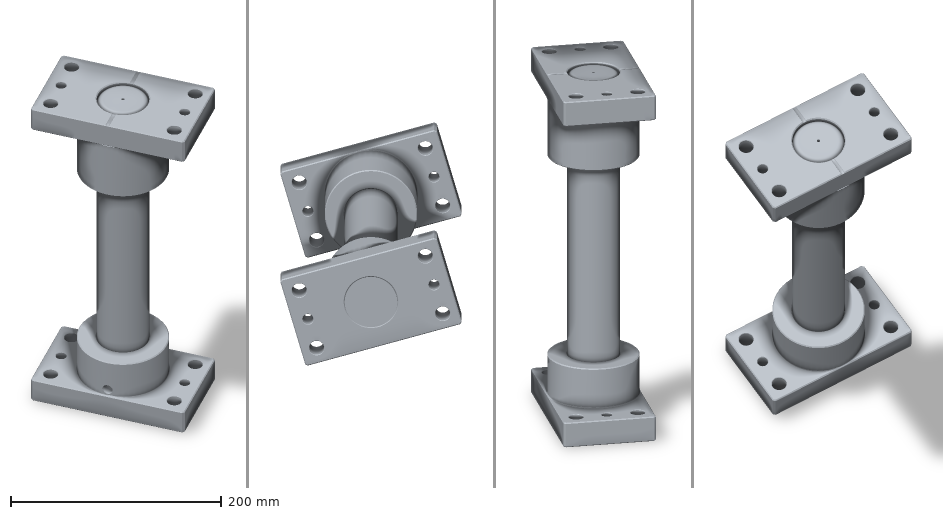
import cadquery as cq
import math

total_height = 350.8

collar_diameter = 88.0
collar_chamfer = 0.98
root_radius = 0.98
lower_collar_height = 40.0
upper_collar_height = 60.0

plate_length = 155.0
plate_width = collar_diameter + 2 * root_radius
plate_thickness = 25.0
corner_chamfer = 2.0
face_chamfer = 0.98

hole_spacing_x = 125.0
bolt_spacing_y = 60.0
bolt_diameter = 14.0
dowel_diameter = 10.0
hole_chamfer = 0.5

post_diameter = 50.0
post_recess = 0.98
post_end_radius = 6.0
center_hole_diameter = 3.0
center_hole_depth = 7.0
bore_chamfer = 0.98

cross_hole_diameter = 10.0
cross_hole_height = 32.3

groove_width = 4.0
groove_depth = 0.98


def chamfered_hole(diameter, length, chamfer):
    """Cutter for a through hole up from Z = 0, flared at both ends to chamfer its rims."""
    radius = diameter / 2
    rim_radius = radius + chamfer
    return (
        cq.Workplane("XZ")
        .moveTo(0, 0)
        .lineTo(rim_radius, 0)
        .lineTo(radius, chamfer)
        .lineTo(radius, length - chamfer)
        .lineTo(rim_radius, length)
        .lineTo(0, length)
        .close()
        .revolve(360, (0, 0, 0), (0, 1, 0))
    )


def make_plate():
    """Flange plate resting on Z = 0, with bevelled edges and its six mounting holes."""
    plate = (
        cq.Workplane("XY")
        .box(plate_length, plate_width, plate_thickness, centered=(True, True, False))
        .edges("|Z")
        .chamfer(corner_chamfer)
        .faces("<Z or >Z")
        .edges()
        .chamfer(face_chamfer)
    )
    bolt_hole = chamfered_hole(bolt_diameter, plate_thickness, hole_chamfer)
    dowel_hole = chamfered_hole(dowel_diameter, plate_thickness, hole_chamfer)
    for x in (-hole_spacing_x / 2, hole_spacing_x / 2):
        plate = plate.cut(dowel_hole.translate((x, 0, 0)))
        for y in (-bolt_spacing_y / 2, bolt_spacing_y / 2):
            plate = plate.cut(bolt_hole.translate((x, y, 0)))
    return plate


def make_collar(collar_height):
    """Solid collar on top of the plate: concave root at the bottom, chamfer at the free end."""
    radius = collar_diameter / 2
    foot_radius = radius + root_radius
    top = plate_thickness + collar_height
    arc_drop = root_radius * math.sqrt(0.5)
    return (
        cq.Workplane("XZ")
        .moveTo(0, plate_thickness)
        .lineTo(foot_radius, plate_thickness)
        .threePointArc(
            (foot_radius - arc_drop, plate_thickness + root_radius - arc_drop),
            (radius, plate_thickness + root_radius),
        )
        .lineTo(radius, top - collar_chamfer)
        .lineTo(radius - collar_chamfer, top)
        .lineTo(0, top)
        .close()
        .revolve(360, (0, 0, 0), (0, 1, 0))
    )


def make_block(collar_height):
    """Flange plate and collar in one piece, bored through; the plate's outer face is at Z = 0."""
    bore = chamfered_hole(post_diameter, plate_thickness + collar_height, bore_chamfer)
    return make_plate().union(make_collar(collar_height)).cut(bore)


def make_lower_block():
    """Base block with a cross hole running from the front of the collar to the bore."""
    cross_hole = (
        cq.Workplane("XZ")
        .center(0, cross_hole_height)
        .circle(cross_hole_diameter / 2)
        .extrude(plate_width)
    )
    return make_block(lower_collar_height).cut(cross_hole)


def make_upper_block():
    """Sliding block hung collar-down at the top, with a vent groove across its outer face."""
    groove = (
        cq.Workplane("XZ")
        .moveTo(-groove_width / 2, 0)
        .threePointArc((0, groove_depth), (groove_width / 2, 0))
        .close()
        .extrude(plate_width / 2, both=True)
    )
    return (
        make_block(upper_collar_height)
        .cut(groove)
        .rotate((0, 0, 0), (1, 0, 0), 180)
        .translate((0, 0, total_height))
    )


def make_post():
    """Round guide post with a rounded, centre-drilled top end."""
    post_height = total_height - post_recess
    post = (
        cq.Workplane("XY")
        .circle(post_diameter / 2)
        .extrude(post_height)
        .faces(">Z")
        .edges()
        .fillet(post_end_radius)
    )
    center_hole = (
        cq.Workplane("XY")
        .workplane(offset=post_height - center_hole_depth)
        .circle(center_hole_diameter / 2)
        .extrude(center_hole_depth)
    )
    return post.cut(center_hole)


lower_block = make_lower_block()
upper_block = make_upper_block()
post = make_post()

result = cq.Compound.makeCompound([lower_block.val(), upper_block.val(), post.val()])